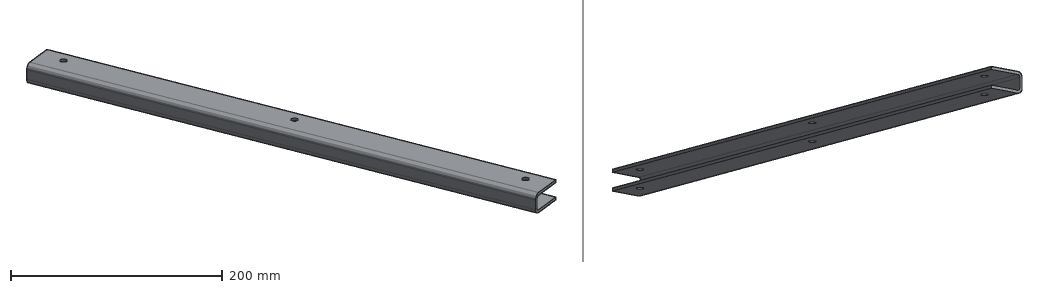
import cadquery as cq

length = 559.0
depth = 38.0
height = 21.0

thickness = 3.0
outer_bend_radius = 5.5
inner_bend_radius = outer_bend_radius - thickness

hole_diameter = 6.5
hole_end_distance = 25.5
hole_edge_distance = 13.0
hole_pitch = length / 2 - hole_end_distance


def channel():
    """U-shaped sheet profile with its web on the -Y side, running along X."""
    outer = (
        cq.Workplane("XY")
        .box(length, depth, height)
        .edges("|X and <Y")
        .fillet(outer_bend_radius)
    )
    cavity = (
        cq.Workplane("XY")
        .box(length, depth - thickness, height - 2 * thickness)
        .edges("|X and <Y")
        .fillet(inner_bend_radius)
        .translate((0, thickness / 2, 0))
    )
    return outer.cut(cavity)


def flange_holes():
    """Row of three vertical cylinders that pierce both flanges."""
    row_y = depth / 2 - hole_edge_distance
    positions = [(i * hole_pitch, row_y) for i in (-1, 0, 1)]
    return (
        cq.Workplane("XY")
        .pushPoints(positions)
        .circle(hole_diameter / 2)
        .extrude(height, both=True)
    )


result = channel().cut(flange_holes())